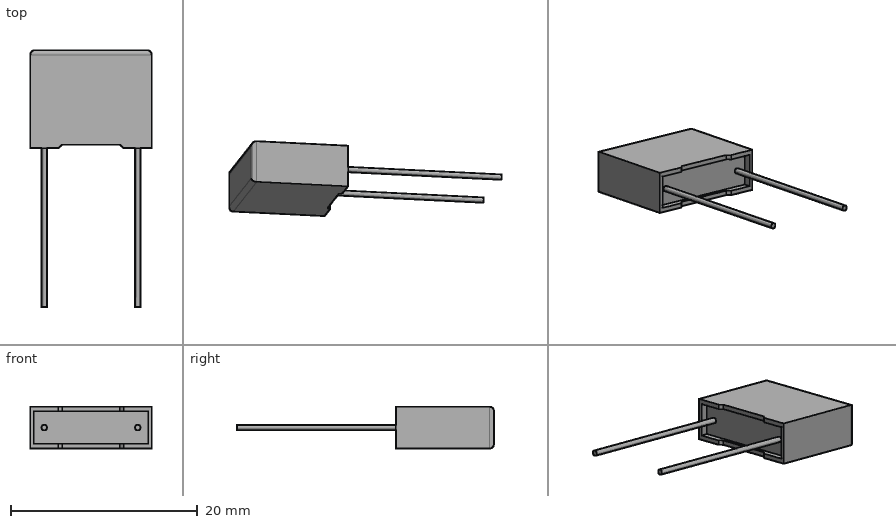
import cadquery as cq

case_width = 13.0
case_length = 10.5
case_thickness = 4.5
back_edge_radius = 0.5
side_wall = 0.4
face_wall = 0.5
back_wall = 0.5

notch_depth = 0.35
notch_top_width = 6.2
notch_rim_width = 7.0

resin_recess = 0.8
cavity_width = case_width - 2 * side_wall
cavity_thickness = case_thickness - 2 * face_wall
cavity_depth = case_length - back_wall
resin_depth = cavity_depth - resin_recess

lead_diameter = 0.6
lead_pitch = 10.0
lead_reach = 17.0
lead_length = lead_reach + resin_recess



def block_along_y(width, thickness, start_y, length):
    """Rectangular block, centred in X and Z, running toward +Y from start_y."""
    block = cq.Workplane("XY").box(width, length, thickness, centered=(True, False, True))
    return block.translate((0, start_y, 0))


def make_notch_cutter():
    """Trapezoid, widest at the rim, passing through both broad walls."""
    return (
        cq.Workplane("XY")
        .moveTo(-notch_rim_width / 2, 0)
        .lineTo(-notch_top_width / 2, notch_depth)
        .lineTo(notch_top_width / 2, notch_depth)
        .lineTo(notch_rim_width / 2, 0)
        .close()
        .extrude(case_thickness / 2, both=True)
    )


def make_case():
    outer = block_along_y(case_width, case_thickness, 0, case_length)
    rounded = outer.faces(">Y").edges().fillet(back_edge_radius)
    cavity = block_along_y(cavity_width, cavity_thickness, 0, cavity_depth)
    return rounded.cut(cavity).cut(make_notch_cutter())


def make_resin():
    return block_along_y(cavity_width, cavity_thickness, resin_recess, resin_depth)


def make_lead(x):
    """Round wire from the resin face toward -Y."""
    start = cq.Vector(x, resin_recess, 0)
    direction = cq.Vector(0, -1, 0)
    return cq.Workplane(cq.Solid.makeCylinder(lead_diameter / 2, lead_length, start, direction))


case = make_case()
resin = make_resin()
leads = [make_lead(side * lead_pitch / 2) for side in (-1, 1)]

result = cq.Compound.makeCompound([case.val(), resin.val(), *[lead.val() for lead in leads]])